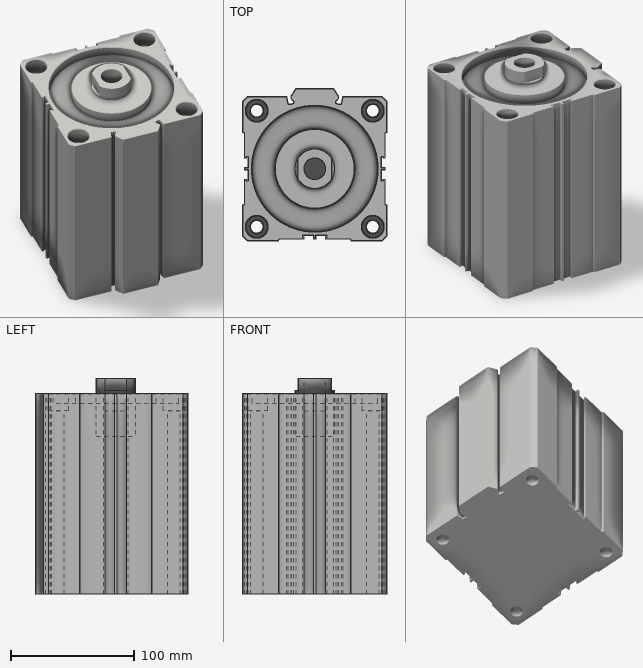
import cadquery as cq

TOTAL_HEIGHT = 175.0
BODY_HEIGHT = 163.0
BODY_WIDTH = 117.0
CORNER_CHAMFER = 4.0

FACE_RECESS_DEPTH = 1.4
FACE_RECESS_FLOOR_HALF_WIDTH = 29.0
FACE_RECESS_MOUTH_HALF_WIDTH = 29.5

SLOT_DEPTH = 3.2
SLOT_LIP = 1.8
SLOT_WIDTH = 17.2
SLOT_UNDERCUT_WIDTH = 19.6
RIB_WIDTH = 2.0

RAIL_REACH = 123.5 - BODY_WIDTH
RAIL_TOP_HALF_WIDTH = 15.2
RAIL_HALF_WIDTH = 19.5
RAIL_WAIST_HALF_WIDTH = 17.2
RAIL_HOOK_DEPTH = 1.4
RAIL_WAIST_TOP_DEPTH = 4.0
RAIL_WAIST_BOTTOM_DEPTH = 5.2
RAIL_FLOOR_DEPTH = 6.1
RAIL_FLOOR_INNER_HALF_WIDTH = 18.7
RAIL_FLOOR_OUTER_HALF_WIDTH = 21.5
RAIL_MOUTH_HALF_WIDTH = 22.8

HOLE_SPACING = 94.2
HOLE_DIAMETER = 10.3
COUNTERBORE_DIAMETER = 17.5
COUNTERBORE_DEPTH = 14.0

RECESS_DIAMETER = 101.8
RECESS_DEPTH = 8.4
COLLAR_DIAMETER = 65.1
EDGE_CHAMFER = 0.5

ROD_DIAMETER = 32.0
ROD_SEAT_DEPTH = 35.0
ROD_FLAT_WIDTH = 27.0
ROD_FLAT_HEIGHT = 10.0
ROD_HOLE_DIAMETER = 17.5
ROD_HOLE_DEPTH = 26.2

half_width = BODY_WIDTH / 2
rod_bottom = BODY_HEIGHT - ROD_SEAT_DEPTH


def upright_box(width, inner_y, outer_y):
    """Full-height block centred on X, between two Y positions."""
    return (
        cq.Workplane("XY")
        .center(0, (inner_y + outer_y) / 2)
        .rect(width, outer_y - inner_y)
        .extrude(BODY_HEIGHT)
    )


def disc(diameter, bottom, top):
    """Cylinder on the rod axis."""
    return cq.Workplane("XY").workplane(offset=bottom).circle(diameter / 2).extrude(top - bottom)


def slot_cut():
    """Material removed from the +Y face: shallow recess and undercut slot, less the middle rib."""
    recess_y = half_width - FACE_RECESS_DEPTH
    floor_y = recess_y - SLOT_DEPTH
    recess_outline = [
        (-FACE_RECESS_MOUTH_HALF_WIDTH, half_width),
        (-FACE_RECESS_FLOOR_HALF_WIDTH, recess_y),
        (FACE_RECESS_FLOOR_HALF_WIDTH, recess_y),
        (FACE_RECESS_MOUTH_HALF_WIDTH, half_width),
    ]
    recess = cq.Workplane("XY").polyline(recess_outline).close().extrude(BODY_HEIGHT)
    mouth = upright_box(SLOT_WIDTH, floor_y, recess_y)
    undercut = upright_box(SLOT_UNDERCUT_WIDTH, floor_y, recess_y - SLOT_LIP)
    rib = upright_box(RIB_WIDTH, floor_y, recess_y)
    return recess.union(mouth).union(undercut).cut(rib)


def rail_half_profile():
    """Right half of the rail outline, from the housing face inwards and then up to the rail top."""
    return [
        (RAIL_MOUTH_HALF_WIDTH, half_width),
        (RAIL_FLOOR_OUTER_HALF_WIDTH, half_width - RAIL_FLOOR_DEPTH),
        (RAIL_FLOOR_INNER_HALF_WIDTH, half_width - RAIL_FLOOR_DEPTH),
        (RAIL_WAIST_HALF_WIDTH, half_width - RAIL_WAIST_BOTTOM_DEPTH),
        (RAIL_WAIST_HALF_WIDTH, half_width - RAIL_WAIST_TOP_DEPTH),
        (RAIL_HALF_WIDTH, half_width - RAIL_HOOK_DEPTH),
        (RAIL_HALF_WIDTH, half_width),
        (RAIL_TOP_HALF_WIDTH, half_width + RAIL_REACH),
    ]


def profile_block():
    """Extruded housing profile with chamfered corners, the rail and the three slots."""
    inset = half_width - CORNER_CHAMFER
    right_half = [(inset, -half_width), (half_width, -inset), (half_width, inset), (inset, half_width)]
    right_half += rail_half_profile()
    left_half = [(-x, y) for x, y in reversed(right_half)]
    block = cq.Workplane("XY").polyline(right_half + left_half).close().extrude(BODY_HEIGHT)
    for angle in (90, 180, 270):
        block = block.cut(slot_cut().rotate((0, 0, 0), (0, 0, 1), angle))
    return block


def chamfered_bore(diameter, bottom, top):
    """Cutter for a round bore on the rod axis, widened by a chamfer at its upper end."""
    radius = diameter / 2
    half_section = [
        (0, bottom),
        (radius, bottom),
        (radius, top - EDGE_CHAMFER),
        (radius + EDGE_CHAMFER, top),
        (0, top),
    ]
    return cq.Workplane("XZ").polyline(half_section).close().revolve(360, (0, 0, 0), (0, 1, 0))


def cut_mounting_holes(body):
    """Four counterbored through holes at the corners."""
    counterbore_floor = BODY_HEIGHT - COUNTERBORE_DEPTH
    counterbore = chamfered_bore(COUNTERBORE_DIAMETER, counterbore_floor, BODY_HEIGHT)
    cutter = counterbore.union(chamfered_bore(HOLE_DIAMETER, 0, counterbore_floor))
    for x in (-HOLE_SPACING / 2, HOLE_SPACING / 2):
        for y in (-HOLE_SPACING / 2, HOLE_SPACING / 2):
            body = body.cut(cutter.translate((x, y, 0)))
    return body


def make_housing():
    """Extruded housing with the collar recess, the blind rod bore and the mounting holes."""
    recess_floor = BODY_HEIGHT - RECESS_DEPTH
    recess = chamfered_bore(RECESS_DIAMETER, recess_floor, BODY_HEIGHT)
    collar = disc(COLLAR_DIAMETER, recess_floor, BODY_HEIGHT).faces(">Z").chamfer(EDGE_CHAMFER)
    body = profile_block().cut(recess).union(collar)
    body = body.cut(disc(ROD_DIAMETER, rod_bottom, BODY_HEIGHT))
    return cut_mounting_holes(body)


def make_rod():
    """Round rod with two wrench flats at its free end and a blind axial hole."""
    flat_bottom = TOTAL_HEIGHT - ROD_FLAT_HEIGHT
    shank = disc(ROD_DIAMETER, rod_bottom, flat_bottom)
    flats = (
        cq.Workplane("XY")
        .workplane(offset=flat_bottom)
        .rect(ROD_FLAT_WIDTH, ROD_DIAMETER)
        .extrude(ROD_FLAT_HEIGHT)
    )
    tip = disc(ROD_DIAMETER, flat_bottom, TOTAL_HEIGHT).intersect(flats)
    hole = disc(ROD_HOLE_DIAMETER, TOTAL_HEIGHT - ROD_HOLE_DEPTH, TOTAL_HEIGHT)
    return shank.union(tip).cut(hole)


housing = make_housing()
rod = make_rod()

result = cq.Compound.makeCompound([housing.val(), rod.val()])